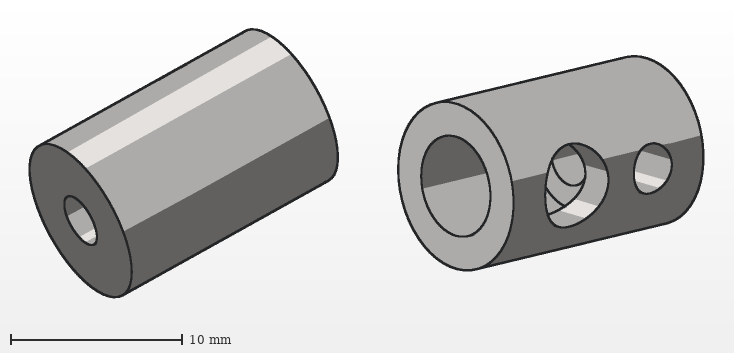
import cadquery as cq

length = 15.0
outer_diameter = 10.0
bore_diameter = 3.2

wide_bore_diameter = 6.0
wide_bore_depth = 9.0

large_hole_diameter = 5.0
large_hole_from_back = 5.0
small_hole_diameter = 3.0
small_hole_from_front = 4.0

front_y = -length / 2
back_y = length / 2


def rod_along_y(diameter, start_y, end_y):
    """Solid cylinder on the Y axis between two Y positions."""
    profile = cq.Workplane("XZ", origin=(0, end_y, 0)).circle(diameter / 2)
    return profile.extrude(end_y - start_y)


def side_hole(diameter, y):
    """Radial cutter from the part axis out through the -X wall."""
    profile = cq.Workplane("YZ").center(y, 0).circle(diameter / 2)
    return profile.extrude(-outer_diameter)


body = rod_along_y(outer_diameter, front_y, back_y)
bore = rod_along_y(bore_diameter, front_y, back_y)
wide_bore = rod_along_y(wide_bore_diameter, back_y - wide_bore_depth, back_y)
large_hole = side_hole(large_hole_diameter, back_y - large_hole_from_back)
small_hole = side_hole(small_hole_diameter, front_y + small_hole_from_front)

result = body.cut(bore).cut(wide_bore).cut(large_hole).cut(small_hole)